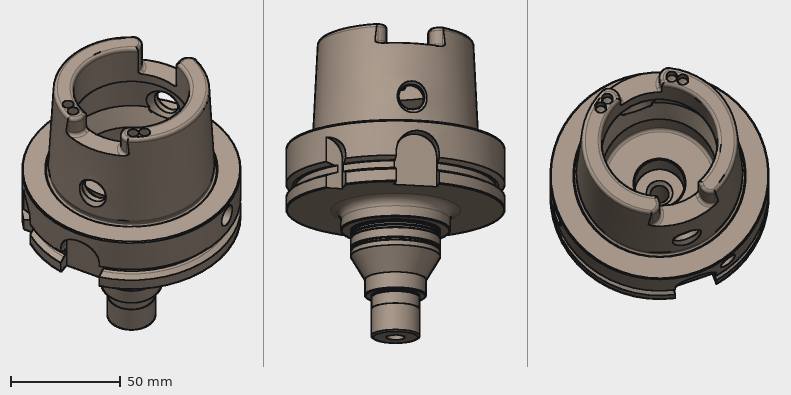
import cadquery as cq
import math


shank_height = 50.0
gauge_radius = 37.1
gauge_height = 20.0
taper_slope = 0.05
taper_start = 2.2
neck_radius = 37.7
neck_top = 1.0
rim_round = 1.7

relief_outer_radius = 39.5
relief_depth = 0.8
relief_side_width = 0.5

bore_radius = 26.5
bore_end = 30.0
recess_radius = 31.5
recess_angle = 30
recess_bottom = 10.6
lower_cone_angle = 60
floor_height = -11.2
floor_fillet = 1.5
seat_radius = 11.5
seat_chamfer = 0.5
seat_depth = 14.0
coolant_radius = 4.2
coolant_mouth_radius = 6.0

flange_diameter = 100.0
flange_radius = flange_diameter / 2
flange_thickness = 29.3
flange_top_chamfer_width = 0.4
flange_top_chamfer_height = 0.7
flange_bottom_chamfer = 0.4
groove_mouth_top = -16.9
groove_mouth_bottom = -23.5
groove_shoulder_top = -18.4
groove_shoulder_bottom = -22.0
groove_shoulder_radius = 47.2
groove_radius = 45.9
groove_bottom_rise = 0.4

collar_radius = 25.0
collar_fillet = 4.6
collar_bottom = -39.0
edge_chamfer = 0.4
land_radius = 20.5
groove_depth = 0.4
stub_grooves = [(-40.3, collar_bottom), (-43.1, -41.3), (-49.0, -47.3)]
cone_top = -51.3
cone_bottom = -62.4
step_diameter = 28.0
step_radius = step_diameter / 2
step_bottom = -70.0
pilot_radius = 11.2
pilot_relief_radius = 11.0
pilot_relief_top = -70.7
pilot_relief_bottom = -76.3
total_height = 139.5
pilot_chamfer_width = 1.0
pilot_chamfer_height = 0.7

drive_slot_width = 20.0
drive_corner_radius = 5.0
drive_corner_y = 27.0
drive_floor_round = 1.7
front_drive_depth = 9.8
back_drive_depth = 15.0

wall_hole_diameter = 12.0
wall_hole_height = 14.8
wall_hole_mouth_diameter = 15.0

key_slot_width = 20.0
key_slot_center_z = -14.9
key_slot_floor = 43.5
corner_notch_wall_x = -31.5
corner_notch_floor_y = -31.2

rim_hole_height = -7.1
rim_hole_depth = 4.6
chip_hole_diameter = 10.0
chip_hole_angle = 0
side_hole_diameter = 8.4
side_hole_angle = 109

drill_diameter = 5.0
drill_ring_radius = 31.1
drill_depth = 5.0
drill_point_height = 1.5
drill_angles = (30.2, 39.8)


def taper_radius(z):
    return gauge_radius + taper_slope * (gauge_height - z)


def revolve_profile(points):
    return cq.Workplane("XZ").polyline(points).close().revolve(360, (0, 0, 0), (0, 1, 0))


def make_shank():
    bend = relief_depth * math.sqrt(0.5)
    shank = (
        cq.Workplane("XZ")
        .moveTo(0, -relief_depth)
        .lineTo(neck_radius + relief_depth, -relief_depth)
        .threePointArc((neck_radius + relief_depth - bend, -bend), (neck_radius, 0))
        .lineTo(neck_radius, neck_top)
        .lineTo(taper_radius(taper_start), taper_start)
        .lineTo(taper_radius(shank_height), shank_height)
        .lineTo(0, shank_height)
        .close()
        .revolve(360, (0, 0, 0), (0, 1, 0))
    )
    bore = cq.Workplane("XY", origin=(0, 0, bore_end)).circle(bore_radius).extrude(shank_height)
    return shank.cut(bore)


def drive_slot(side, depth):
    """Slot through the shank wall that widens around the outer corners of the lugs."""
    half = drive_slot_width / 2
    shoulder_x = half + drive_corner_radius
    shoulder_y = drive_corner_y + drive_corner_radius
    bend = drive_corner_radius * math.sqrt(0.5)
    slot = (
        cq.Workplane("XY", origin=(0, 0, shank_height - depth))
        .moveTo(-half, 0)
        .lineTo(-half, drive_corner_y)
        .threePointArc((-shoulder_x + bend, drive_corner_y + bend), (-shoulder_x, shoulder_y))
        .lineTo(-flange_radius, shoulder_y)
        .lineTo(-flange_radius, flange_radius)
        .lineTo(flange_radius, flange_radius)
        .lineTo(flange_radius, shoulder_y)
        .lineTo(shoulder_x, shoulder_y)
        .threePointArc((shoulder_x - bend, drive_corner_y + bend), (half, drive_corner_y))
        .lineTo(half, 0)
        .close()
        .extrude(depth)
        .faces("<Z").edges().fillet(drive_floor_round)
    )
    if side < 0:
        slot = slot.mirror("XZ")
    return slot


def make_flange():
    top_edge = flange_radius - flange_top_chamfer_width
    bottom = -flange_thickness
    return revolve_profile([
        (0, -relief_depth),
        (relief_outer_radius - relief_side_width, -relief_depth),
        (relief_outer_radius, 0),
        (top_edge, 0),
        (flange_radius, -flange_top_chamfer_height),
        (flange_radius, groove_mouth_top),
        (groove_shoulder_radius, groove_shoulder_top),
        (groove_radius, groove_shoulder_top),
        (groove_radius, groove_shoulder_bottom + groove_bottom_rise),
        (groove_shoulder_radius, groove_shoulder_bottom),
        (flange_radius, groove_mouth_bottom),
        (flange_radius, bottom + flange_bottom_chamfer),
        (flange_radius - flange_bottom_chamfer, bottom),
        (0, bottom),
    ])


def make_stub():
    top = -flange_thickness
    bottom = shank_height - total_height
    arc_x = collar_radius + collar_fillet
    arc_z = top - collar_fillet
    bend = collar_fillet * math.sqrt(0.5)
    stub = (
        cq.Workplane("XZ")
        .moveTo(0, top)
        .lineTo(arc_x, top)
        .threePointArc((arc_x - bend, arc_z + bend), (collar_radius, arc_z))
        .lineTo(collar_radius, collar_bottom + edge_chamfer)
        .lineTo(collar_radius - edge_chamfer, collar_bottom)
        .lineTo(land_radius, collar_bottom)
        .lineTo(land_radius, cone_top)
        .lineTo(step_radius, cone_bottom)
        .lineTo(step_radius, step_bottom + edge_chamfer)
        .lineTo(step_radius - edge_chamfer, step_bottom)
        .lineTo(pilot_radius, step_bottom)
        .lineTo(pilot_radius, pilot_relief_top)
        .lineTo(pilot_relief_radius, pilot_relief_top)
        .lineTo(pilot_relief_radius, pilot_relief_bottom)
        .lineTo(pilot_radius, pilot_relief_bottom)
        .lineTo(pilot_radius, bottom + pilot_chamfer_height)
        .lineTo(pilot_radius - pilot_chamfer_width, bottom)
        .lineTo(0, bottom)
        .close()
        .revolve(360, (0, 0, 0), (0, 1, 0))
    )
    for low, high in stub_grooves:
        stub = stub.cut(revolve_profile([
            (land_radius, low),
            (land_radius - groove_depth, low + groove_depth),
            (land_radius - groove_depth, high - groove_depth),
            (land_radius, high),
        ]))
    return stub


def make_inner_space():
    """Clamping recess, lower bore, counterbore and coolant hole."""
    cone_height = (recess_radius - bore_radius) * math.tan(math.radians(recess_angle))
    lower_cone_height = (recess_radius - bore_radius) * math.tan(math.radians(lower_cone_angle))
    bend = floor_fillet * (1 - math.sqrt(0.5))
    seat_floor = floor_height - seat_depth
    mouth_depth = coolant_mouth_radius - coolant_radius
    stub_end = shank_height - total_height
    return (
        cq.Workplane("XZ")
        .moveTo(0, bore_end)
        .lineTo(bore_radius, bore_end)
        .lineTo(recess_radius, bore_end - cone_height)
        .lineTo(recess_radius, recess_bottom)
        .lineTo(bore_radius, recess_bottom - lower_cone_height)
        .lineTo(bore_radius, floor_height + floor_fillet)
        .threePointArc(
            (bore_radius - bend, floor_height + bend),
            (bore_radius - floor_fillet, floor_height),
        )
        .lineTo(seat_radius + seat_chamfer, floor_height)
        .lineTo(seat_radius, floor_height - seat_chamfer)
        .lineTo(seat_radius, seat_floor)
        .lineTo(coolant_mouth_radius, seat_floor)
        .lineTo(coolant_radius, seat_floor - mouth_depth)
        .lineTo(coolant_radius, stub_end)
        .lineTo(0, stub_end)
        .close()
        .revolve(360, (0, 0, 0), (0, 1, 0))
    )


def make_wall_hole():
    """Through hole along Y, with a 45 degree countersink on both faces of each wall."""
    hole_radius = wall_hole_diameter / 2
    mouth_radius = wall_hole_mouth_diameter / 2
    overrun = 1.4
    wide_radius = mouth_radius + overrun
    sink_depth = wide_radius - hole_radius
    outer_start = taper_radius(wall_hole_height) + overrun
    inner_start = recess_radius - overrun
    hole = (
        cq.Workplane("XZ", origin=(0, 0, wall_hole_height))
        .circle(hole_radius)
        .extrude(flange_radius, both=True)
    )
    for side in (-1, 1):
        outward = cq.Vector(0, side, 0)
        for start_y, direction in ((outer_start, -outward), (inner_start, outward)):
            start = cq.Vector(0, side * start_y, wall_hole_height)
            sink = cq.Solid.makeCone(wide_radius, hole_radius, sink_depth, start, direction)
            hole = hole.union(cq.Workplane(sink))
    return hole


def arched_slot(center_x, floor_y, side):
    """Flange slot open downward and outward, with a flat floor at floor_y."""
    half = key_slot_width / 2
    return (
        cq.Workplane("XZ", origin=(0, floor_y, 0))
        .moveTo(center_x - half, -flange_thickness)
        .lineTo(center_x - half, key_slot_center_z)
        .threePointArc((center_x, key_slot_center_z + half), (center_x + half, key_slot_center_z))
        .lineTo(center_x + half, -flange_thickness)
        .close()
        .extrude(-side * flange_radius)
    )


def rim_hole(diameter, angle):
    direction = cq.Vector(math.cos(math.radians(angle)), math.sin(math.radians(angle)), 0)
    start = direction * (flange_radius - rim_hole_depth) + cq.Vector(0, 0, rim_hole_height)
    return cq.Solid.makeCylinder(diameter / 2, 2 * rim_hole_depth, start, direction)


def drilled_hole(angle):
    """Hole with a conical bottom, at an angle from the -Y direction."""
    radius = drill_diameter / 2
    hole = revolve_profile([
        (0, shank_height),
        (radius, shank_height),
        (radius, shank_height - drill_depth),
        (0, shank_height - drill_depth - drill_point_height),
    ])
    return hole.translate((0, -drill_ring_radius, 0)).rotate((0, 0, 0), (0, 0, 1), angle)


shank = make_shank()
shank = shank.cut(drive_slot(-1, front_drive_depth))
shank = shank.cut(drive_slot(1, back_drive_depth))
shank = shank.faces(">Z").edges().fillet(rim_round)

result = shank.union(make_flange()).union(make_stub())
result = result.cut(make_inner_space()).cut(make_wall_hole())

result = result.cut(arched_slot(0, -key_slot_floor, -1))
result = result.cut(arched_slot(0, key_slot_floor, 1))
corner_notch_center_x = corner_notch_wall_x - key_slot_width / 2
result = result.cut(arched_slot(corner_notch_center_x, corner_notch_floor_y, -1))
result = result.cut(cq.Workplane(rim_hole(chip_hole_diameter, chip_hole_angle)))
result = result.cut(cq.Workplane(rim_hole(side_hole_diameter, side_hole_angle)))

for angle in drill_angles:
    for lug in (-1, 1):
        result = result.cut(drilled_hole(lug * angle))